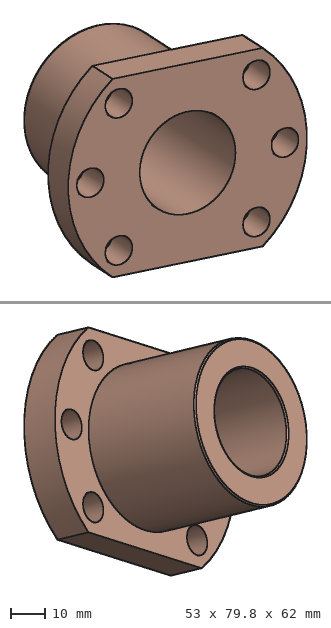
import cadquery as cq

total_length = 53.0
flange_diameter = 79.75
flange_thickness = 12.0
flange_height = 62.0
body_diameter = 50.0
bore_diameter = 32.0
edge_chamfer = 0.5

hole_diameter = 9.0
bolt_circle_diameter = 65.0
hole_angles = (-45, 0, 45, 135, 180, 225)

body_length = total_length - flange_thickness


def make_flange():
    """Round flange with a flat on its top and bottom."""
    flange_plane = cq.Workplane("YZ").workplane(offset=body_length)
    disc = flange_plane.circle(flange_diameter / 2).extrude(flange_thickness)
    slab = flange_plane.rect(flange_diameter, flange_height).extrude(flange_thickness)
    return disc.intersect(slab)


def make_body():
    """Cylindrical body with a chamfered free end."""
    cylinder = cq.Workplane("YZ").circle(body_diameter / 2).extrude(body_length)
    return cylinder.faces("<X").chamfer(edge_chamfer)


def make_bore():
    """Through bore, widened by a chamfer at the free end of the body."""
    bore = cq.Workplane("YZ").circle(bore_diameter / 2).extrude(total_length)
    chamfer_cone = (
        cq.Workplane("YZ")
        .circle(bore_diameter / 2 + edge_chamfer)
        .extrude(edge_chamfer, taper=45)
    )
    return bore.union(chamfer_cone)


def make_mounting_holes():
    """Through holes on the bolt circle, three on each side of the body."""
    flange_plane = cq.Workplane("YZ").workplane(offset=body_length)
    holes = cq.Workplane("YZ")
    for angle in hole_angles:
        hole = (
            flange_plane.transformed(rotate=(0, 0, angle))
            .center(bolt_circle_diameter / 2, 0)
            .circle(hole_diameter / 2)
            .extrude(flange_thickness)
        )
        holes = holes.add(hole)
    return holes.combine()


result = make_flange().union(make_body()).cut(make_bore()).cut(make_mounting_holes())